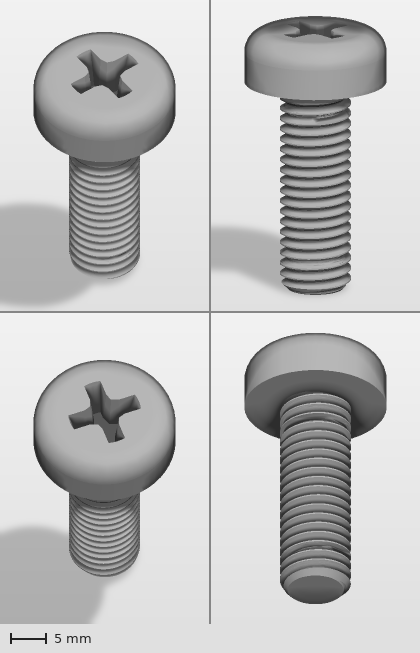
import cadquery as cq
import math

total_height = 37.5
head_diameter = 20.0
head_height = 7.5
head_edge_radius = 3.2

thread_diameter = 10.0
root_diameter = 8.05
pitch = 1.5
flank_half_angle = 30.0
crest_width = pitch / 8
crest_height_at_plus_x = 1.2
tip_radius = 3.9

recess_depth = 5.62
recess_top_radius = 5.15
recess_floor_radius = 3.45
arm_width = 2.45
arm_side_inset = 0.55
corner_start = 2.55
corner_crease = 1.58

shank_length = total_height - head_height
thread_radius = thread_diameter / 2
root_radius = root_diameter / 2
envelope_margin = 0.95
rod_excess = 5 * pitch


def make_head():
    head = cq.Workplane("XY").workplane(offset=shank_length).circle(head_diameter / 2).extrude(head_height)
    return head.faces(">Z").edges().fillet(head_edge_radius)


def cross_outline(inset):
    """Cross with every arm side and corner flat moved inward by the inset, keeping mitred corners."""
    flat_angle = math.atan2(corner_crease - arm_width / 2, corner_start - corner_crease)
    half_width = arm_width / 2 - inset
    start = corner_start - inset * math.tan(flat_angle / 2)
    crease = corner_crease - inset / (math.sin(flat_angle) + math.cos(flat_angle))
    arm_reach = 1.25 * recess_top_radius
    quarter_points = [
        (arm_reach, -half_width),
        (arm_reach, half_width),
        (start, half_width),
        (crease, crease),
        (half_width, start),
    ]
    points = []
    for _ in range(4):
        points += quarter_points
        quarter_points = [(-y, x) for x, y in quarter_points]
    return points


def make_recess():
    """Cross recess: a tapered cross trimmed by a cone that slopes the arm ends."""
    top = cq.Workplane("XY").workplane(offset=total_height)
    tapered_cross = (
        top.polyline(cross_outline(0)).close()
        .workplane(offset=-recess_depth).polyline(cross_outline(arm_side_inset)).close()
        .loft(ruled=True)
    )
    cone = (
        top.circle(recess_top_radius)
        .workplane(offset=-recess_depth).circle(recess_floor_radius)
        .loft(ruled=True)
    )
    return tapered_cross.intersect(cone)


def make_thread_ridge():
    """Right-handed ridge, longer than the shank at both ends."""
    overlap = 0.05
    base_radius = root_radius - overlap
    base_half_width = crest_width / 2 + (thread_radius - base_radius) * math.tan(math.radians(flank_half_angle))
    start = crest_height_at_plus_x - 2 * pitch
    turns = math.ceil((shank_length - start) / pitch) + 1
    path = cq.Wire.makeHelix(pitch, turns * pitch, root_radius, center=cq.Vector(0, 0, start))
    profile = cq.Workplane("XZ").polyline([
        (base_radius, start - base_half_width),
        (thread_radius, start - crest_width / 2),
        (thread_radius, start + crest_width / 2),
        (base_radius, start + base_half_width),
    ]).close()
    return profile.sweep(cq.Workplane(path), isFrenet=True)


def make_shank():
    """Threaded rod cut to length by an envelope whose conical tip chamfers the first turns."""
    rod = (
        cq.Workplane("XY").workplane(offset=-rod_excess)
        .circle(root_radius).extrude(shank_length + 2 * rod_excess)
        .union(make_thread_ridge())
    )
    envelope_radius = thread_radius + envelope_margin
    envelope = cq.Workplane("XY").circle(envelope_radius).extrude(shank_length)
    envelope = envelope.faces("<Z").edges().chamfer(envelope_radius - tip_radius)
    return rod.intersect(envelope)


result = make_head().union(make_shank()).cut(make_recess())